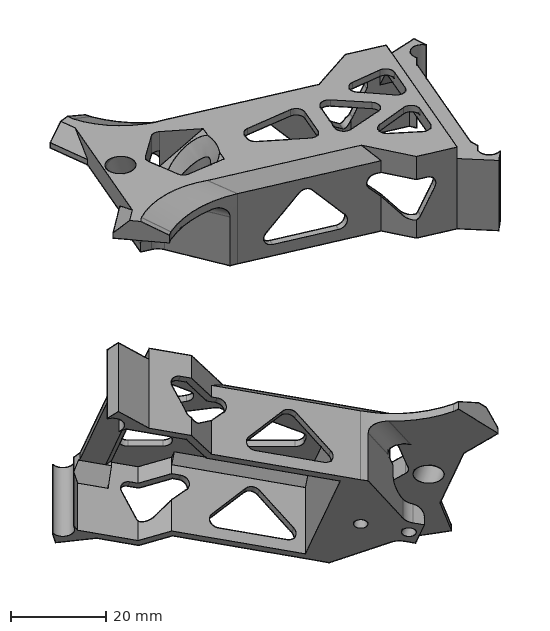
import cadquery as cq
import math


total_height = 21.0
edge_chamfer = 2.9
shoulder_height = total_height - edge_chamfer
shelf_thickness = 4.9
shelf_underside = total_height - shelf_thickness
wall = 1.65
reach = 103.8

narrow_half = 15.0
crest_half = narrow_half - edge_chamfer
wide_half = 20.15
wide_rear_y = 77.1
wide_front_y = 67.8
shoulder_y = 61.9
rear_y = 82.0

ear_outer = (24.05, 84.9)
ear_tip = (21.0, 86.5)
ear_cusp = (17.3, 82.9)
ear_root = (15.4, rear_y)
bite_diameter = 5.0
bite_center = (19.0, 84.8)

nose_angle = 30.0
nose_tip_x = 17.8
front_y = 5.0
flare_start_y = 29.3
flare_lower_end = (22.75, 11.2)
flare_lower_radius = 25.2
flare_lower_corner_y = 10.4
crest_start_y = 23.7
flare_upper_end = (19.5, 5.8)
flare_upper_radius = 20.8
flare_upper_corner_y = 5.1
nose_chamfer = 3.55

v_apex_y = 12.6
v_fillet = 3.55
tab_half = 3.4
tab_front_y = 12.0
tab_height = 5.0
tab_rounding = 2.9
recess_half = 9.0
recess_y = 20.0
recess_fillet = 3.0

seat_y = 29.9
bore_diameter = 8.0
screw_diameter = 3.0
bore_y = 25.0
bore_flare = 2.5
pocket_side = (8.7, 19.55)
pocket_top_half = 6.0
pocket_tip_y = 14.3

access_diameter = 6.3
access_y = 8.8
access_tilt = 15.0

cavity_front_y = 33.3
cavity_ceiling = total_height - wall
throat_y = 75.0
throat_height = 17.7
rear_ceiling = shoulder_height - wall
rear_bevel_width = 2.6
rear_bevel_height = 4.1

window_radius = 2.0
rear_window = [(0.8, throat_y), (12.9, throat_y), (8.7, 60.9)]
middle_window = [(-7.35, 55.8), (7.35, 55.8), (0, 69.9)]
front_window = [(-6.3, 52.1), (6.3, 52.1), (2.2, 37.2), (-2.2, 37.2)]
rear_side_window = [(73.4, 15.05), (56.0, 15.05), (67.55, 3.1)]
front_side_window = [(32.9, 2.9), (56.75, 2.9), (44.8, 16.3)]


def mirrored(points):
    """Points of the -X side, in reverse order."""
    return [(-x, y) for x, y in reversed(points)]


def symmetric_prism(points, z0, z1):
    """Prism over a half outline on +X and its mirror image."""
    plan = cq.Workplane("XY").workplane(offset=z0).polyline(points + mirrored(points)).close()
    return plan.extrude(z1 - z0)


def side_prism(points, half_width):
    """Prism along X, centred on X = 0, over a (Y, Z) outline."""
    return cq.Workplane("YZ").polyline(points).close().extrude(half_width, both=True)


def both_sides(solid):
    """The solid together with its mirror image across X = 0."""
    return solid.union(solid.mirror("YZ"))


def end_x(y):
    """X of the slanted end face of the shelf at a given Y."""
    return nose_tip_x + y * math.tan(math.radians(nose_angle))


def arc_middle(start, end, radius):
    """Middle of the arc that bulges toward the centre line."""
    dx = end[0] - start[0]
    dy = end[1] - start[1]
    chord = math.hypot(dx, dy)
    sagitta = radius - math.sqrt(radius**2 - chord**2 / 4)
    mid_x = (start[0] + end[0]) / 2
    mid_y = (start[1] + end[1]) / 2
    return (mid_x + sagitta * dy / chord, mid_y - sagitta * dx / chord)


def flared_outline(sketch, half, start_y, arc_end, radius, corner_y):
    """Half outline of the narrow body and its flared shelf, from the rear to the nose."""
    start = (half, start_y)
    nose_inner_x = nose_tip_x - front_y / math.tan(math.radians(nose_angle))
    return (
        sketch.moveTo(0, shoulder_y)
        .lineTo(half, shoulder_y)
        .lineTo(*start)
        .threePointArc(arc_middle(start, arc_end, radius), arc_end)
        .lineTo(end_x(corner_y), corner_y)
        .lineTo(nose_tip_x, 0)
        .lineTo(nose_inner_x, front_y)
        .lineTo(0, front_y)
        .close()
    )


def flared_body():
    """Narrow body and front shelf, bevelled along the sides up to the crest."""
    lower_args = (narrow_half, flare_start_y, flare_lower_end, flare_lower_radius, flare_lower_corner_y)
    upper_args = (crest_half, crest_start_y, flare_upper_end, flare_upper_radius, flare_upper_corner_y)
    lower = flared_outline(cq.Workplane("XY"), *lower_args).extrude(shoulder_height)
    base = flared_outline(cq.Workplane("XY").workplane(offset=shoulder_height), *lower_args)
    top = flared_outline(base.workplane(offset=edge_chamfer), *upper_args)
    return both_sides(lower.union(top.loft(ruled=True)))


def nose_bevel():
    """Wedge that bevels the slanted nose edge on +X at 45 degrees."""
    low = total_height - nose_chamfer
    profile = [(0, low), (nose_chamfer, total_height), (-reach, total_height), (-reach, low)]
    wedge = side_prism(profile, reach)
    wedge = wedge.rotate((0, 0, 0), (0, 0, 1), -nose_angle).translate((nose_tip_x, 0, 0))
    nose = cq.Workplane("XY").box(reach, front_y, total_height, centered=False)
    return wedge.intersect(nose)


def rear_body():
    """Wide rear block, the lower deck behind it and the two ears with their round bites."""
    shoulder_slope = (wide_front_y - shoulder_y) / (wide_half - narrow_half)
    crest_y = shoulder_y - (narrow_half - crest_half) * shoulder_slope
    wide = symmetric_prism(
        [(wide_half, wide_rear_y), (wide_half, wide_front_y), (crest_half, crest_y)], 0, total_height
    )
    ears = symmetric_prism(
        [ear_root, ear_cusp, ear_tip, ear_outer, (wide_half, wide_rear_y)], 0, shoulder_height
    )
    bites = (
        cq.Workplane("XY")
        .pushPoints([bite_center, mirrored([bite_center])[0]])
        .circle(bite_diameter / 2)
        .extrude(total_height)
    )
    return wide.union(ears).cut(bites)


def v_undercut():
    """Space under the shelf in front of one V wall; the fillet at its top stops at the recess."""
    root_y = v_apex_y + tab_half
    outline = [(tab_half, root_y), (reach, v_apex_y + reach), (reach, -reach), (tab_half, -reach)]
    space = cq.Workplane("XY").polyline(outline).close().extrude(shelf_underside)
    space = space.edges(cq.selectors.NearestToPointSelector((tab_half, root_y, shelf_underside / 2)))
    space = space.fillet(v_fillet)
    wall_middle = (reach / 2, v_apex_y + reach / 2, shelf_underside)
    rounded = space.edges(cq.selectors.NearestToPointSelector(wall_middle)).fillet(v_fillet)
    recess_width = cq.Workplane("XY").box(2 * recess_half, reach, reach)
    return rounded.union(space.intersect(recess_width))


def front_recess():
    """Space between the shelf and the tab, with a round bottom corner."""
    depth = recess_y + reach
    height = shelf_underside - tab_height
    space = cq.Workplane("XY").box(2 * recess_half, depth, height, centered=(True, False, False))
    space = space.translate((0, -reach, tab_height))
    return space.edges(">Y and <Z").fillet(recess_fillet)


def tab_front():
    """Space below the recess, in front of the rounded screw tab."""
    outline = (
        cq.Workplane("YZ")
        .moveTo(tab_front_y, 0)
        .lineTo(tab_front_y, tab_height - tab_rounding)
        .radiusArc((tab_front_y + tab_rounding, tab_height), tab_rounding)
        .lineTo(-reach, tab_height)
        .lineTo(-reach, 0)
        .close()
    )
    return outline.extrude(recess_half, both=True)


def cavity():
    """Hollow inside, open at the base and at the rear."""
    bend = math.atan2(wide_half - narrow_half, wide_front_y - shoulder_y)
    shift = wall * math.tan(bend / 2)
    inner_wide = wide_half - wall
    inner_narrow = narrow_half - wall
    inner_chamfer = edge_chamfer - wall * (2 - math.sqrt(2))
    narrow_length = throat_y - cavity_front_y
    narrow_size = (2 * inner_narrow, narrow_length, cavity_ceiling)
    narrow = cq.Workplane("XY").box(*narrow_size, centered=(True, False, False))
    narrow = narrow.edges("|Y and >Z").chamfer(inner_chamfer).translate((0, cavity_front_y, 0))
    shoulder = [(inner_wide, wide_front_y + shift), (inner_narrow, shoulder_y + shift)]
    wide = symmetric_prism([(inner_wide, throat_y)] + shoulder, 0, cavity_ceiling)
    cusp_y = ear_cusp[1]
    corner_y = cusp_y - (inner_wide - ear_cusp[0])
    rear_plan = [(ear_cusp[0], reach), ear_cusp, (inner_wide, corner_y), (inner_wide, throat_y)]
    rear = symmetric_prism(rear_plan, 0, throat_height)
    slope_end_y = throat_y + throat_height - rear_ceiling
    rear_profile = [
        (throat_y, 0),
        (throat_y, throat_height),
        (slope_end_y, rear_ceiling),
        (reach, rear_ceiling),
        (reach, 0),
    ]
    rear = rear.intersect(side_prism(rear_profile, wide_half))
    for side in (1, -1):
        corner_x = side * inner_wide
        corner = (
            cq.Workplane("XZ")
            .moveTo(corner_x, throat_height)
            .lineTo(corner_x, rear_ceiling - rear_bevel_height)
            .lineTo(corner_x - side * rear_bevel_width, rear_ceiling)
            .lineTo(corner_x - side * rear_bevel_width, throat_height)
            .close()
            .extrude(-reach)
        )
        rear = rear.cut(corner)
    return narrow.union(wide).union(rear)


def top_window(points):
    """Cutter for a rounded window through the top plate."""
    window = cq.Workplane("XY").workplane(offset=cavity_ceiling - wall).polyline(points).close()
    return window.extrude(reach).edges("|Z").fillet(window_radius)


def side_window(points):
    """Cutter for a rounded window through both side walls."""
    return side_prism(points, reach).edges("|X").fillet(window_radius)


def below_seat():
    """Everything below the 45 degree seat plane."""
    low_end = (seat_y - reach, total_height - reach)
    high_end = (seat_y + reach, total_height + reach)
    return side_prism([low_end, high_end, (seat_y + reach, -reach)], reach)


def pocket():
    """Pocket above the seat, the flared bore down to tab height and its through screw hole."""
    plan = [(pocket_top_half, seat_y), pocket_side, (0, pocket_tip_y)]
    prism = cq.Workplane("XY").polyline(plan + mirrored(plan[:2])).close().extrude(total_height)
    prism = prism.edges("|Z and (not >Y)").fillet(window_radius)
    seat = below_seat()
    bore_floor = cq.Workplane("XY", origin=(0, bore_y, tab_height))
    bore = bore_floor.circle(bore_diameter / 2).extrude(reach)
    rim = (0, bore_y, total_height - seat_y + bore_y)
    flared = seat.cut(bore).edges(cq.selectors.NearestToPointSelector(rim)).chamfer(bore_flare)
    screw = cq.Workplane("XY").center(0, bore_y).circle(screw_diameter / 2).extrude(total_height)
    return prism.cut(seat).union(seat.cut(flared)).union(screw)


def inclined_screw():
    """Wide access hole through the shelf and a narrow hole on its axis through the tab."""
    access = cq.Workplane("XY").circle(access_diameter / 2).extrude(2 * shelf_thickness, both=True)
    screw = cq.Workplane("XY").circle(screw_diameter / 2).extrude(-2 * total_height)
    axis = access.union(screw).rotate((0, 0, 0), (1, 0, 0), access_tilt)
    return axis.translate((0, access_y, total_height))


result = flared_body()
result = result.cut(both_sides(nose_bevel()))
result = result.cut(both_sides(v_undercut()))
result = result.cut(front_recess()).cut(tab_front())
result = result.union(rear_body())
result = result.cut(cavity())

result = result.cut(both_sides(top_window(rear_window)))
for outline in (middle_window, front_window):
    result = result.cut(top_window(outline))
for outline in (rear_side_window, front_side_window):
    result = result.cut(side_window(outline))

result = result.cut(pocket()).cut(inclined_screw())